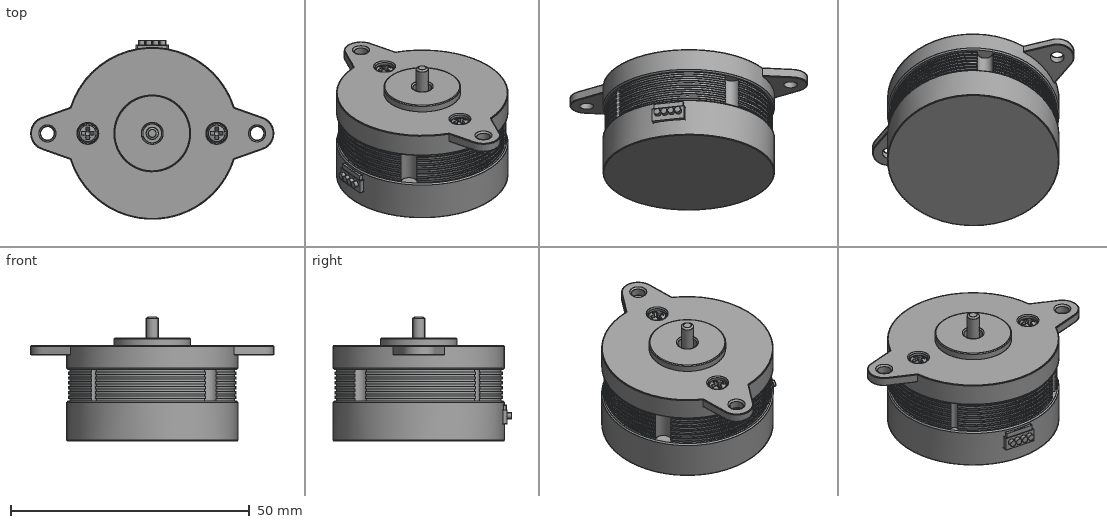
import cadquery as cq
import math

BODY_RADIUS = 18.0
BASE_TOP = 8.3
STATOR_TOP = 15.0
COVER_TOP = 20.0
FACE_CHAMFER = 0.15
SEAM_CHAMFER = 0.3

PILOT_RADIUS = 8.05
PILOT_HEIGHT = 1.55
PILOT_CHAMFER = 0.2
EAR_SPACING = 43.95
EAR_RADIUS = 3.5
EAR_THICKNESS = 2.0
EAR_FLANK_ANGLE = 19.5
EAR_HOLE_RADIUS = 1.45
EAR_HOLE_CHAMFER = 0.35
CLEARANCE_RADIUS = 2.0
CLEARANCE_CHAMFER = 0.3

RIDGE_RADIUS = 17.55
GROOVE_RADIUS = 17.3
RIDGE_COUNT = 6
RIDGE_THICKNESS = 0.5
LARGE_NOTCH_RADIUS = 1.7
NOTCH_OFFSET = 12.25
SMALL_NOTCH_RADIUS = 0.7

SHAFT_RADIUS = 1.3
SHAFT_TOP = 26.0
SHAFT_CHAMFER_HEIGHT = 0.3
SHAFT_CHAMFER_WIDTH = 0.45

SCREW_SPACING = 27.05
SCREW_HEAD_RADIUS = 2.05
SCREW_DOME_RADIUS = 1.75
SCREW_RIM_HEIGHT = 0.6
SCREW_EDGE_HEIGHT = 0.25
SCREW_CONE_HEIGHT = 0.45
SCREW_SHANK_RADIUS = 1.0
SCREW_SEAT_DEPTH = 1.5
SCREW_SEAT_CHAMFER = 0.25
CROSS_REACH = 1.35
CROSS_WIDTH = 0.75
CROSS_DEPTH = 1.65
CROSS_CORE_RADIUS = 0.5
CROSS_POINT_DEPTH = 0.25

PLUG_WIDTH = 6.9
PLUG_BOTTOM = 3.55
PLUG_TOP = 6.45
PLUG_FRONT = 18.55
LEDGE_WIDTH = 6.2
LEDGE_TOP = 7.5
LEDGE_FRONT = 18.4
CONNECTOR_BACK = 16.3
PIN_COUNT = 4
PIN_PITCH = 1.5
PIN_RADIUS = 0.65
PIN_HEIGHT = 5.25
PIN_FRONT = 19.5

COVER_HEIGHT = COVER_TOP - STATOR_TOP
STATOR_HEIGHT = STATOR_TOP - BASE_TOP
SCREW_POSITIONS = [(-SCREW_SPACING / 2, 0), (SCREW_SPACING / 2, 0)]
EAR_POSITIONS = [(-EAR_SPACING / 2, 0), (EAR_SPACING / 2, 0)]
SCREW_SEAT_Z = COVER_TOP - SCREW_SEAT_DEPTH


def disc(radius, bottom, height):
    return cq.Workplane("XY").workplane(offset=bottom).circle(radius).extrude(height)


def make_ear_plate():
    """Flat plate holding both ears, its straight sides tangent to the ear ends."""
    slope = math.radians(EAR_FLANK_ANGLE)
    end_x = EAR_SPACING / 2
    tangent_x = end_x + EAR_RADIUS * math.sin(slope)
    tangent_y = EAR_RADIUS * math.cos(slope)
    tip_x = end_x + EAR_RADIUS
    middle_y = tangent_y + tangent_x * math.tan(slope)
    return (
        cq.Workplane("XY")
        .workplane(offset=COVER_TOP - EAR_THICKNESS)
        .moveTo(0, middle_y)
        .lineTo(tangent_x, tangent_y)
        .threePointArc((tip_x, 0), (tangent_x, -tangent_y))
        .lineTo(0, -middle_y)
        .lineTo(-tangent_x, -tangent_y)
        .threePointArc((-tip_x, 0), (-tangent_x, tangent_y))
        .close()
        .extrude(EAR_THICKNESS)
        .faces("<Z or >Z")
        .chamfer(FACE_CHAMFER)
    )


def make_front_cover():
    cover = disc(BODY_RADIUS, STATOR_TOP, COVER_HEIGHT)
    cover = cover.faces("<Z").chamfer(SEAM_CHAMFER).faces(">Z").chamfer(FACE_CHAMFER)
    cover = cover.union(make_ear_plate())
    pilot = disc(PILOT_RADIUS, COVER_TOP, PILOT_HEIGHT).faces(">Z").chamfer(PILOT_CHAMFER)
    cover = cover.union(pilot)

    pilot_top = COVER_TOP + PILOT_HEIGHT
    clearance = disc(CLEARANCE_RADIUS, STATOR_TOP, pilot_top - STATOR_TOP)
    cover = cover.cut(clearance).cut(
        countersink(CLEARANCE_RADIUS, CLEARANCE_CHAMFER).translate((0, 0, pilot_top))
    )
    for x, y in EAR_POSITIONS:
        hole = disc(EAR_HOLE_RADIUS, COVER_TOP - EAR_THICKNESS, EAR_THICKNESS)
        sink = countersink(EAR_HOLE_RADIUS, EAR_HOLE_CHAMFER).translate((0, 0, COVER_TOP))
        cover = cover.cut(hole.union(sink).translate((x, y, 0)))
    for x, y in SCREW_POSITIONS:
        seat = disc(SCREW_HEAD_RADIUS, SCREW_SEAT_Z, SCREW_SEAT_DEPTH)
        shank_hole = disc(SCREW_SHANK_RADIUS, STATOR_TOP, SCREW_SEAT_Z - STATOR_TOP)
        sink = countersink(SCREW_HEAD_RADIUS, SCREW_SEAT_CHAMFER).translate((0, 0, COVER_TOP))
        cover = cover.cut(seat.union(shank_hole).union(sink).translate((x, y, 0)))
    return cover


def countersink(radius, chamfer):
    """45 degree cone that breaks the top edge of a hole whose mouth is at Z = 0."""
    return (
        cq.Workplane("XZ")
        .polyline([(0, 0), (radius + chamfer, 0), (radius, -chamfer), (0, -chamfer)])
        .close()
        .revolve(360, (0, 0, 0), (0, 1, 0))
    )


def make_stator():
    stator = disc(GROOVE_RADIUS, BASE_TOP, STATOR_HEIGHT)
    stack_height = (2 * RIDGE_COUNT - 1) * RIDGE_THICKNESS
    first_ridge = BASE_TOP + (STATOR_HEIGHT - stack_height) / 2
    for index in range(RIDGE_COUNT):
        ridge_bottom = first_ridge + 2 * index * RIDGE_THICKNESS
        stator = stator.union(disc(RIDGE_RADIUS, ridge_bottom, RIDGE_THICKNESS))
    for side in (-1, 1):
        large = disc(LARGE_NOTCH_RADIUS, BASE_TOP, STATOR_HEIGHT)
        stator = stator.cut(large.translate((side * NOTCH_OFFSET, -side * NOTCH_OFFSET, 0)))
        small = disc(SMALL_NOTCH_RADIUS, BASE_TOP, STATOR_HEIGHT)
        stator = stator.cut(small.translate((side * NOTCH_OFFSET, side * NOTCH_OFFSET, 0)))
    return stator.cut(disc(SHAFT_RADIUS, BASE_TOP, STATOR_HEIGHT))


def make_shaft():
    shaft = disc(SHAFT_RADIUS, BASE_TOP, SHAFT_TOP - BASE_TOP)
    return shaft.faces(">Z").chamfer(SHAFT_CHAMFER_HEIGHT, SHAFT_CHAMFER_WIDTH)


def make_cross_recess():
    """Cross recess with arms that slope down to a pointed core; its mouth is at Z = 0."""
    mouth = SCREW_CONE_HEIGHT
    profile = [
        (-CROSS_REACH, mouth),
        (CROSS_REACH, mouth),
        (CROSS_REACH, -SCREW_CONE_HEIGHT),
        (CROSS_CORE_RADIUS, -CROSS_DEPTH),
        (-CROSS_CORE_RADIUS, -CROSS_DEPTH),
        (-CROSS_REACH, -SCREW_CONE_HEIGHT),
    ]
    arm = cq.Workplane("XZ").polyline(profile).close().extrude(CROSS_WIDTH / 2, both=True)
    core = (
        cq.Workplane("XZ")
        .polyline([
            (0, mouth),
            (CROSS_CORE_RADIUS, mouth),
            (CROSS_CORE_RADIUS, -CROSS_DEPTH),
            (0, -CROSS_DEPTH - CROSS_POINT_DEPTH),
        ])
        .close()
        .revolve(360, (0, 0, 0), (0, 1, 0))
    )
    return arm.union(arm.rotate((0, 0, 0), (0, 0, 1), 90)).union(core)


def make_screw(x, y):
    edge_z = SCREW_SEAT_Z + SCREW_RIM_HEIGHT
    dome_z = edge_z + SCREW_EDGE_HEIGHT
    top_z = dome_z + SCREW_CONE_HEIGHT
    screw = (
        cq.Workplane("XZ")
        .polyline([
            (0, STATOR_TOP),
            (SCREW_SHANK_RADIUS, STATOR_TOP),
            (SCREW_SHANK_RADIUS, SCREW_SEAT_Z),
            (SCREW_HEAD_RADIUS, SCREW_SEAT_Z),
            (SCREW_HEAD_RADIUS, edge_z),
            (SCREW_DOME_RADIUS, dome_z),
            (0, top_z),
        ])
        .close()
        .revolve(360, (0, 0, 0), (0, 1, 0))
    )
    return screw.cut(make_cross_recess().translate((0, 0, top_z))).translate((x, y, 0))


def connector_block(width, front, bottom, top):
    return (
        cq.Workplane("XY")
        .workplane(offset=bottom)
        .center(0, (CONNECTOR_BACK + front) / 2)
        .rect(width, front - CONNECTOR_BACK)
        .extrude(top - bottom)
    )


def make_connector():
    connector = connector_block(PLUG_WIDTH, PLUG_FRONT, PLUG_BOTTOM, PLUG_TOP)
    connector = connector.union(connector_block(LEDGE_WIDTH, LEDGE_FRONT, PLUG_TOP, LEDGE_TOP))
    for index in range(PIN_COUNT):
        x = (index - (PIN_COUNT - 1) / 2) * PIN_PITCH
        pin = cq.Workplane("XZ").circle(PIN_RADIUS).extrude(-(PIN_FRONT - PLUG_FRONT))
        connector = connector.union(pin.translate((x, PLUG_FRONT, PIN_HEIGHT)))
    return connector


def make_base():
    base = disc(BODY_RADIUS, 0, BASE_TOP)
    base = base.faces(">Z").chamfer(SEAM_CHAMFER).faces("<Z").chamfer(FACE_CHAMFER)
    return base.cut(connector)


connector = make_connector()
base = make_base()
stator = make_stator()
front_cover = make_front_cover()
shaft = make_shaft()
screws = [make_screw(x, y) for x, y in SCREW_POSITIONS]

result = cq.Compound.makeCompound([
    base.val(),
    stator.val(),
    front_cover.val(),
    shaft.val(),
    connector.val(),
    *[screw.val() for screw in screws],
])